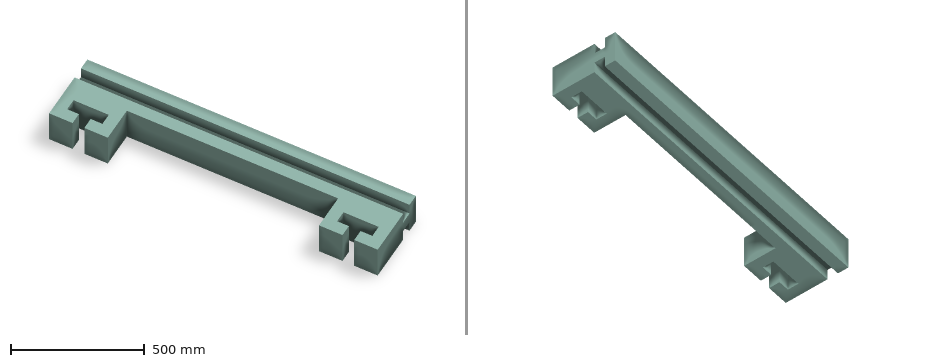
import cadquery as cq

length = 1400.0
modules_along_length = 28
module = length / modules_along_length

depth = 6 * module
height = 3 * module

foot_width = 5 * module
foot_depth = 3 * module
slot_lip = module
slot_mouth_width = module
slot_head_width = 3 * module
slot_head_depth = module

flange_depth = module
groove_width = module
groove_depth = module


def box_at(x_min, y_min, z_min, x_size, y_size, z_size):
    """Box placed by its lowest corner."""
    box = cq.Workplane("XY").box(x_size, y_size, z_size, centered=False)
    return box.translate((x_min, y_min, z_min))


def foot_slot(x_center):
    """T-slot running through the full height of a foot."""
    mouth = box_at(
        x_center - slot_mouth_width / 2, 0, 0,
        slot_mouth_width, slot_lip + slot_head_depth, height,
    )
    head = box_at(
        x_center - slot_head_width / 2, slot_lip, 0,
        slot_head_width, slot_head_depth, height,
    )
    return mouth.union(head)


result = box_at(-length / 2, 0, 0, length, depth, height)

recess_width = length - 2 * foot_width
result = result.cut(box_at(-recess_width / 2, 0, 0, recess_width, foot_depth, height))

foot_center = (length - foot_width) / 2
for x_center in (-foot_center, foot_center):
    result = result.cut(foot_slot(x_center))

groove_y = depth - flange_depth - groove_width
for groove_z in (0, height - groove_depth):
    result = result.cut(box_at(-length / 2, groove_y, groove_z, length, groove_width, groove_depth))